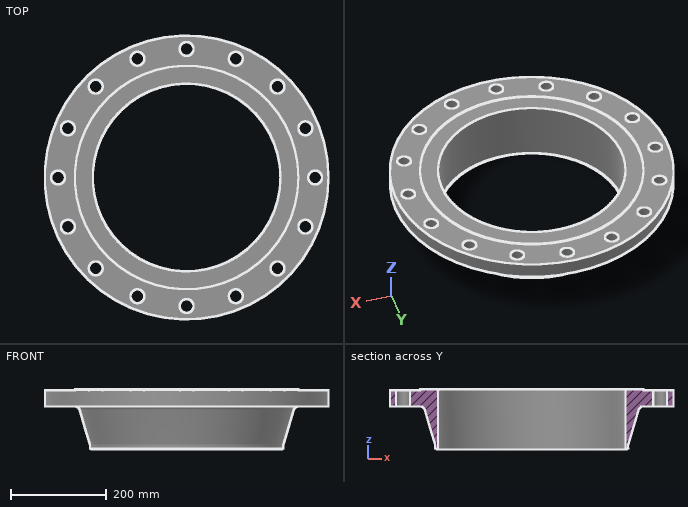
import cadquery as cq

flange_diameter = 597.0
total_height = 127.0
bore_diameter = 394.0

raised_face_diameter = 470.0
raised_face_height = 2.0
plate_thickness = 34.5

hub_top_diameter = 455.0
weld_end_diameter = 407.0
weld_end_height = 10.0
bevel_height = 3.0
bevel_width = 5.0
hub_fillet = 10.0

bolt_count = 16
bolt_circle_diameter = 540.0
bolt_hole_diameter = 28.5

plate_top = total_height - raised_face_height
plate_bottom = plate_top - plate_thickness


def make_hub():
    """Solid neck, from the bevelled weld end up to the plate underside."""
    end_radius = weld_end_diameter / 2
    return (
        cq.Workplane("XZ")
        .moveTo(0, 0)
        .lineTo(end_radius - bevel_width, 0)
        .lineTo(end_radius, bevel_height)
        .lineTo(end_radius, weld_end_height)
        .lineTo(hub_top_diameter / 2, plate_bottom)
        .lineTo(0, plate_bottom)
        .close()
        .revolve(360, (0, 0, 0), (0, 1, 0))
    )


def make_cylinder(diameter, bottom, height):
    return cq.Workplane("XY").workplane(offset=bottom).circle(diameter / 2).extrude(height)


plate = make_cylinder(flange_diameter, plate_bottom, plate_thickness)
raised_face = make_cylinder(raised_face_diameter, plate_top, raised_face_height)

root_edge = cq.selectors.BoxSelector(
    (-flange_diameter, -flange_diameter, plate_bottom - hub_fillet / 2),
    (flange_diameter, flange_diameter, plate_bottom + hub_fillet / 2),
)
body = make_hub().union(plate)
body = body.edges(root_edge).edges(cq.selectors.RadiusNthSelector(0)).fillet(hub_fillet)

bore = make_cylinder(bore_diameter, 0, total_height)
bolt_holes = (
    cq.Workplane("XY")
    .workplane(offset=plate_bottom)
    .polarArray(bolt_circle_diameter / 2, 0, 360, bolt_count)
    .circle(bolt_hole_diameter / 2)
    .extrude(plate_thickness)
)

result = body.union(raised_face).cut(bore).cut(bolt_holes)